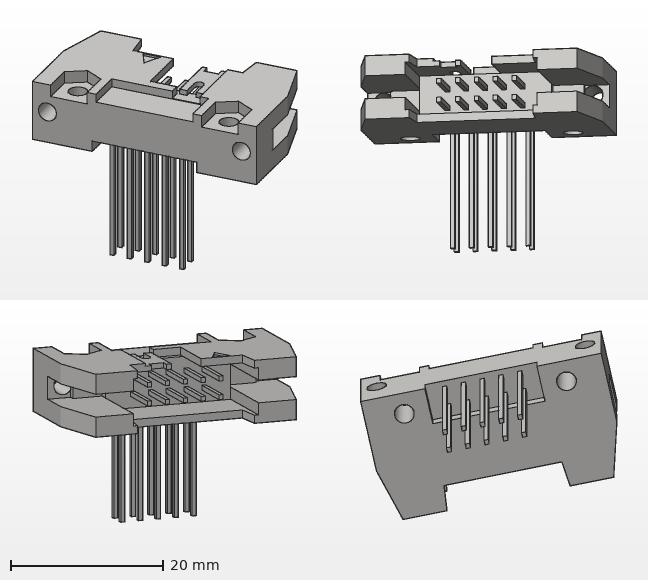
import cadquery as cq
import math


length = 32.3
depth = 17.3
height = 8.5
overall_height = 23.5
taper_start_y = 9.9
back_corner_x = 14.15
mouth_outer_x = 8.27
mouth_floor_x = 7.9
mouth_floor_y = 13.8

middle_z = 4.25
slot_height = 3.07
slot_floor_y = 5.2
slot_step_x = 12.92
slot_inner_floor_y = 6.05
cavity_length = 17.65
cavity_height = 6.33
cavity_floor_y = 7.35
cavity_top = middle_z + cavity_height / 2

relief_length = 13.95
relief_depth = 5.0
relief_floor_z = 7.33
key_width = 4.17
key_front_y = 6.45
channel_left_x = 1.75
channel_right_x = 5.75
tongue_top_z = 8.15
tongue_front_y = 6.6
tongue_slot_x = 3.8
tongue_slot_width = 1.32
tongue_slot_end_y = 9.63
tongue_notch_left_x = 2.78
tongue_notch_right_x = 4.88
tongue_notch_depth = 1.0

hole_diameter = 2.6
mount_x = 10.9
mount_y = 2.87
pocket_width = 5.25
pocket_shoulder_y = 4.35
pocket_point_angle = 30.0
pocket_point_y = pocket_shoulder_y + pocket_width / 2 * math.tan(math.radians(pocket_point_angle))
pocket_floor_z = 6.8
front_hole_x = 14.0
front_hole_z = 4.45

mark_x = -5.07
mark_width = 2.5
mark_base_y = 13.5
mark_point_y = 11.05
mark_depth = 0.3

recess_length = 15.05
recess_height = 1.52

columns = 5
pitch = 2.52
pin_width = 0.58
pin_thickness = 0.65
pin_back_y = 13.5
pin_bottom_z = height - overall_height
tail_mid_y = 2.33


def box(x0, x1, y0, y1, z0, z1):
    """Axis-aligned block between two opposite corners."""
    return cq.Workplane("XY").box(x1 - x0, y1 - y0, z1 - z0, centered=False).translate((x0, y0, z0))


def centered_box(width, y0, y1, z0, z1):
    """Axis-aligned block that is symmetric about X = 0."""
    return box(-width / 2, width / 2, y0, y1, z0, z1)


def housing_blank():
    """Housing outline, tapered at its back corners and notched at the mouth."""
    half_outline = [
        (length / 2, 0),
        (length / 2, taper_start_y),
        (back_corner_x, depth),
        (mouth_outer_x, depth),
        (mouth_floor_x, mouth_floor_y),
    ]
    mirrored = [(-x, y) for x, y in reversed(half_outline)]
    return cq.Workplane("XY").polyline(half_outline + mirrored).close().extrude(height)


def cut_mating_side(body):
    """Stepped latch slots across the length and the taller contact cavity between them."""
    slot_bottom = middle_z - slot_height / 2
    slot_top = middle_z + slot_height / 2
    for inner_x, outer_x, floor_y in (
        (slot_step_x, length / 2, slot_floor_y),
        (cavity_length / 2, slot_step_x, slot_inner_floor_y),
    ):
        body = body.cut(box(inner_x, outer_x, floor_y, depth, slot_bottom, slot_top))
        body = body.cut(box(-outer_x, -inner_x, floor_y, depth, slot_bottom, slot_top))
    cavity_bottom = cavity_top - cavity_height
    return body.cut(centered_box(cavity_length, cavity_floor_y, depth, cavity_bottom, cavity_top))


def cut_top(body):
    """Relief at the front wall, key slot, and the channel that leaves the latch tongue."""
    body = body.cut(centered_box(relief_length, 0, relief_depth, relief_floor_z, height))
    body = body.cut(centered_box(key_width, key_front_y, depth, cavity_top, height))
    body = body.cut(box(channel_left_x, channel_right_x, relief_depth, tongue_front_y, cavity_top, height))
    body = body.cut(box(key_width / 2, channel_right_x, tongue_front_y, depth, tongue_top_z, height))

    slot_radius = tongue_slot_width / 2
    arc_center_y = tongue_slot_end_y - slot_radius
    left_x = tongue_slot_x - slot_radius
    right_x = tongue_slot_x + slot_radius
    tongue_slot = (
        cq.Workplane("XY", origin=(0, 0, cavity_top))
        .moveTo(left_x, tongue_front_y)
        .lineTo(right_x, tongue_front_y)
        .lineTo(right_x, arc_center_y)
        .threePointArc((tongue_slot_x, tongue_slot_end_y), (left_x, arc_center_y))
        .close()
        .extrude(height - cavity_top)
    )
    notch_front_y = mouth_floor_y - tongue_notch_depth
    tongue_notch = box(tongue_notch_left_x, tongue_notch_right_x,
                       notch_front_y, mouth_floor_y, cavity_top, height)
    return body.cut(tongue_slot).cut(tongue_notch)


def cut_mounts(body):
    """Pointed pocket with a vertical hole, and a front-to-back hole, at each end."""
    for side in (-1, 1):
        pocket = (
            cq.Workplane("XY", origin=(side * mount_x, 0, pocket_floor_z))
            .polyline([
                (-pocket_width / 2, 0),
                (pocket_width / 2, 0),
                (pocket_width / 2, pocket_shoulder_y),
                (0, pocket_point_y),
                (-pocket_width / 2, pocket_shoulder_y),
            ])
            .close()
            .extrude(height - pocket_floor_z)
        )
        vertical_hole = (
            cq.Workplane("XY", origin=(side * mount_x, mount_y, 0))
            .circle(hole_diameter / 2)
            .extrude(height)
        )
        front_hole = (
            cq.Workplane("XZ", origin=(side * front_hole_x, 0, front_hole_z))
            .circle(hole_diameter / 2)
            .extrude(-slot_floor_y)
        )
        body = body.cut(pocket).cut(vertical_hole).cut(front_hole)
    return body


def cut_mark(body):
    """Shallow triangle that marks the first contact."""
    triangle = (
        cq.Workplane("XY", origin=(mark_x, 0, height - mark_depth))
        .polyline([(-mark_width / 2, mark_base_y), (mark_width / 2, mark_base_y), (0, mark_point_y)])
        .close()
        .extrude(mark_depth)
    )
    return body.cut(triangle)


def cut_underside(body):
    """Recess around the contact tails, as deep as the relief on top."""
    return body.cut(centered_box(recess_length, 0, relief_depth, 0, recess_height))


def contact(x, mating_z, tail_y):
    """L-shaped contact: a mating blade along Y and a tail that leaves through the underside."""
    half_width = pin_width / 2
    half_thick = pin_thickness / 2
    blade = box(x - half_width, x + half_width, tail_y - half_thick, pin_back_y,
                mating_z - half_thick, mating_z + half_thick)
    tail = box(x - half_width, x + half_width, tail_y - half_thick, tail_y + half_thick,
               pin_bottom_z, mating_z + half_thick)
    return blade.union(tail)


body = housing_blank()
body = cut_mating_side(body)
body = cut_top(body)
body = cut_mounts(body)
body = cut_mark(body)
body = cut_underside(body)

for column in range(columns):
    x = (column - (columns - 1) / 2) * pitch
    for row in (-1, 1):
        mating_z = middle_z + row * pitch / 2
        tail_y = tail_mid_y - row * pitch / 2
        body = body.union(contact(x, mating_z, tail_y))

result = body